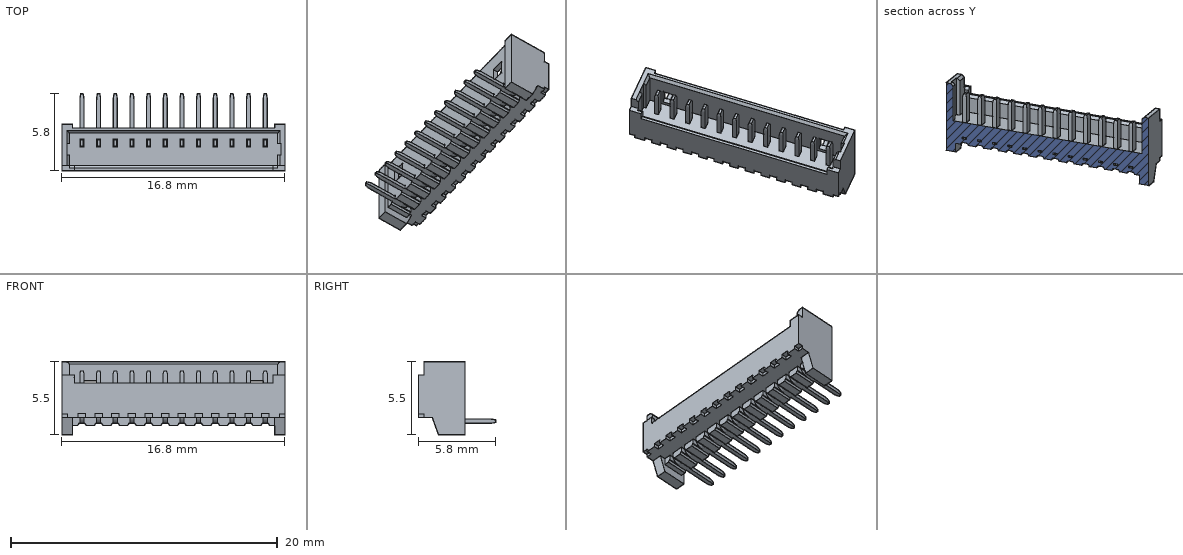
import cadquery as cq
LENGTH = 16.75
HEIGHT = 5.5
DEPTH = 3.5
REAR_FACE = 3.23

END_WALL = 0.8
FRONT_STEP = 0.4
FRONT_SHOULDER = 4.5
TOE_TOP_Y = 1.03
TOE_BOTTOM_Y = 1.5

CAVITY_WALL = 0.575
CAVITY_FRONT = 0.4
CAVITY_REAR = 2.83
FLOOR = 2.53
RIM_CHAMFER = 0.2

FRONT_SILL = 3.9
SHOULDER_WIDTH = 0.925
DEEP_GROOVE_WALL = 0.3
GROOVE_FRONT = 1.21
GROOVE_REAR = 2.05

BODY_BOTTOM = 1.3
RIB_BOTTOM = 0.7
RIB_FRONT = TOE_BOTTOM_Y
NOTCH_WIDTH = 0.56
CORNER_NOTCH_TOP = 1.55
NOTCH_TOP = 1.6
NOTCH_DEPTH = 0.4
CORNER_NOTCH = 0.425
MOUTH_WIDTH = 0.64
MOUTH_TOP_WIDTH = 0.44

WINDOW_WIDTH = 1.0
WINDOW_BOTTOM = 2.8
WINDOW_TOP = 4.06

PIN_COUNT = 12
PITCH = 1.25
PIN_WIDTH = 0.32
PIN_FRONT = 1.78
PIN_REAR = 2.38
PIN_TOP = 4.8
PIN_TIP_LENGTH = 0.3
TIP_INSET = 0.07
TAIL_BOTTOM = 0.86
TAIL_TOP = 1.2
TAIL_END = 5.8
TAIL_TIP_LENGTH = 0.5
BEND_RADIUS = 0.65

FIRST_PIN_X = -PITCH * (PIN_COUNT - 1) / 2
PIN_X = [FIRST_PIN_X + PITCH * i for i in range(PIN_COUNT)]


def box(x0, x1, y0, y1, z0, z1):
    """Block spanning the given limits."""
    return cq.Workplane("XY").box(x1 - x0, y1 - y0, z1 - z0, centered=False).translate((x0, y0, z0))


def extrude_x(points, x0, x1):
    """Prism along X from a (y, z) outline."""
    return cq.Workplane("YZ").polyline(points).close().extrude(x1 - x0).translate((x0, 0, 0))


def both_ends(shape):
    """A feature together with its mirror image across the YZ plane."""
    return shape.union(shape.mirror("YZ"))


def housing_blank():
    half = LENGTH / 2
    body = box(-half, half, 0, REAR_FACE, BODY_BOTTOM, HEIGHT)
    ribs = box(-half, half, RIB_FRONT, REAR_FACE, RIB_BOTTOM, BODY_BOTTOM)
    leg_outline = [
        (TOE_TOP_Y, BODY_BOTTOM),
        (TOE_BOTTOM_Y, 0),
        (DEPTH, 0),
        (DEPTH, HEIGHT),
        (TOE_TOP_Y, HEIGHT),
    ]
    legs = both_ends(extrude_x(leg_outline, -half, -half + END_WALL))
    step = box(-half, half, 0, FRONT_STEP, FRONT_SHOULDER, HEIGHT)
    return body.union(ribs).union(legs).cut(step)


def cavity():
    half = LENGTH / 2 - CAVITY_WALL
    pocket = box(-half, half, CAVITY_FRONT, CAVITY_REAR, FLOOR, HEIGHT)
    flare_depth = CAVITY_REAR - CAVITY_FRONT + 2 * RIM_CHAMFER
    flare = (
        cq.Workplane("XY", origin=(0, (CAVITY_FRONT + CAVITY_REAR) / 2, HEIGHT))
        .rect(2 * (half + RIM_CHAMFER), flare_depth)
        .extrude(-RIM_CHAMFER, taper=45)
    )
    groove_left = -half - RIM_CHAMFER
    groove_right = LENGTH / 2 - DEEP_GROOVE_WALL
    grooves = box(groove_left, groove_right, GROOVE_FRONT, GROOVE_REAR, FLOOR, HEIGHT)
    return pocket.union(flare).union(grooves)


def front_bevel(x_limit, top):
    """45 degree bevel on the inner top edge of the front wall."""
    outline = [
        (CAVITY_FRONT, top),
        (CAVITY_FRONT - RIM_CHAMFER, top),
        (CAVITY_FRONT, top - RIM_CHAMFER),
    ]
    return extrude_x(outline, -x_limit, x_limit)


def front_opening():
    half = LENGTH / 2 - SHOULDER_WIDTH
    opening = box(-half, half, 0, CAVITY_FRONT, FRONT_SILL, FRONT_SHOULDER)
    sill_bevel = front_bevel(half, FRONT_SILL)
    shoulder_bevel = front_bevel(LENGTH / 2 - CAVITY_WALL, FRONT_SHOULDER)
    return opening.union(sill_bevel).union(shoulder_bevel)


def rear_windows():
    center = (PIN_X[0] + PIN_X[1]) / 2
    window = box(
        center - WINDOW_WIDTH / 2, center + WINDOW_WIDTH / 2,
        CAVITY_REAR, REAR_FACE, WINDOW_BOTTOM, WINDOW_TOP,
    )
    return both_ends(window)


def corner_notches():
    half = LENGTH / 2
    return both_ends(box(-half, -half + CORNER_NOTCH, 0, NOTCH_DEPTH, BODY_BOTTOM, CORNER_NOTCH_TOP))


def pin_relief(x):
    """Front wall notch, pin channel and flared mouth at one pin."""
    notch = box(x - NOTCH_WIDTH / 2, x + NOTCH_WIDTH / 2, 0, NOTCH_DEPTH, BODY_BOTTOM, NOTCH_TOP)
    channel = box(x - PIN_WIDTH / 2, x + PIN_WIDTH / 2, RIB_FRONT, REAR_FACE, RIB_BOTTOM, BODY_BOTTOM)
    mouth = (
        cq.Workplane("XZ")
        .moveTo(x - MOUTH_WIDTH / 2, RIB_BOTTOM)
        .lineTo(x + MOUTH_WIDTH / 2, RIB_BOTTOM)
        .lineTo(x + MOUTH_TOP_WIDTH / 2, TAIL_BOTTOM)
        .lineTo(x - MOUTH_TOP_WIDTH / 2, TAIL_BOTTOM)
        .close()
        .extrude(-(REAR_FACE - RIB_FRONT))
        .translate((0, RIB_FRONT, 0))
    )
    return notch.union(channel).union(mouth)


def tapered_bar(start, end, width, depth, tip_length):
    """Vertical bar from height start to height end, its four sides curving inward at the tip."""
    def profile(plane, side, extent):
        half = side / 2
        return (
            cq.Workplane(plane)
            .moveTo(0, start)
            .lineTo(half, start)
            .lineTo(half, end - tip_length)
            .tangentArcPoint((half - TIP_INSET, end), relative=False)
            .lineTo(0, end)
            .mirrorY()
            .extrude(extent, both=True)
        )

    return profile("XZ", width, depth).intersect(profile("YZ", depth, width))


def right_angle_pin():
    """Pin centred on X = 0, with tapered contact and solder tips."""
    contact_depth = PIN_REAR - PIN_FRONT
    contact = tapered_bar(TAIL_BOTTOM, PIN_TOP, PIN_WIDTH, contact_depth, PIN_TIP_LENGTH)
    contact = contact.translate((0, (PIN_FRONT + PIN_REAR) / 2, 0))
    tail_height = TAIL_TOP - TAIL_BOTTOM
    tail = tapered_bar(PIN_FRONT, TAIL_END, PIN_WIDTH, tail_height, TAIL_TIP_LENGTH)
    tail = tail.rotate((0, 0, 0), (1, 0, 0), -90)
    tail = tail.translate((0, 0, (TAIL_BOTTOM + TAIL_TOP) / 2))
    elbow_edge = cq.selectors.NearestToPointSelector((0, PIN_FRONT, TAIL_BOTTOM))
    return contact.union(tail).edges("|X").edges(elbow_edge).fillet(BEND_RADIUS)


housing = housing_blank().cut(cavity()).cut(front_opening()).cut(rear_windows()).cut(corner_notches())
pin = right_angle_pin()
for pin_x in PIN_X:
    housing = housing.cut(pin_relief(pin_x)).union(pin.translate((pin_x, 0, 0)))

result = housing